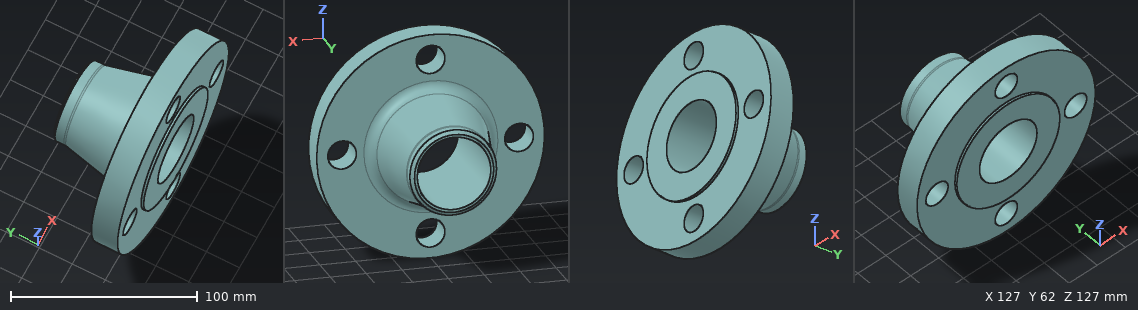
import cadquery as cq
import math

total_length = 62.0
flange_diameter = 127.0
flange_thickness = 17.5
raised_face_diameter = 73.2
raised_face_height = 1.6
bore_diameter = 40.9

bolt_circle_diameter = 98.6
bolt_hole_diameter = 15.8
bolt_hole_count = 4
full_turn = 360.0

hub_base_diameter = 65.0
hub_root_fillet_radius = 6.0
neck_diameter = 48.3
neck_fillet_radius = 5.0
neck_length = 7.5
bevel_angle = 37.5
root_face_width = 1.6

face_y = 0.0
flange_front_y = face_y + raised_face_height
flange_back_y = face_y + flange_thickness
end_y = face_y + total_length
neck_start_y = end_y - neck_length

selection_margin = 0.1

neck_radius = neck_diameter / 2
bevel_inner_radius = bore_diameter / 2 + root_face_width
bevel_length = (neck_radius - bevel_inner_radius) * math.tan(math.radians(bevel_angle))


def edge_box(radius, y):
    """Select the circular edges at axial position y, no larger than the radius."""
    reach = radius + selection_margin
    return cq.selectors.BoxSelector(
        (-reach, y - selection_margin, -reach),
        (reach, y + selection_margin, reach),
        boundingbox=True,
    )


def make_body():
    """Revolve the flange, hub and neck, then blend the hub into the flange."""
    half_section = (
        cq.Workplane("ZY")
        .moveTo(0, face_y)
        .lineTo(raised_face_diameter / 2, face_y)
        .lineTo(raised_face_diameter / 2, flange_front_y)
        .lineTo(flange_diameter / 2, flange_front_y)
        .lineTo(flange_diameter / 2, flange_back_y)
        .lineTo(hub_base_diameter / 2, flange_back_y)
        .lineTo(neck_radius, neck_start_y)
        .lineTo(neck_radius, end_y - bevel_length)
        .lineTo(bevel_inner_radius, end_y)
        .lineTo(0, end_y)
        .close()
    )
    body = half_section.revolve(full_turn, (0, 0, 0), (0, 1, 0))
    hub_root = edge_box(hub_base_diameter / 2, flange_back_y)
    neck_corner = edge_box(neck_radius, neck_start_y)
    body = body.edges(hub_root).fillet(hub_root_fillet_radius)
    body = body.edges(neck_corner).fillet(neck_fillet_radius)
    return body


def axial_cutter(diameter, x, z):
    """Cylinder along Y that runs the full length of the part."""
    return cq.Workplane("XZ", origin=(x, face_y, z)).circle(diameter / 2).extrude(-total_length)


def cut_bolt_holes(body):
    for index in range(bolt_hole_count):
        angle = math.radians(full_turn) * index / bolt_hole_count
        x = bolt_circle_diameter / 2 * math.cos(angle)
        z = bolt_circle_diameter / 2 * math.sin(angle)
        body = body.cut(axial_cutter(bolt_hole_diameter, x, z))
    return body


result = cut_bolt_holes(make_body().cut(axial_cutter(bore_diameter, 0, 0)))